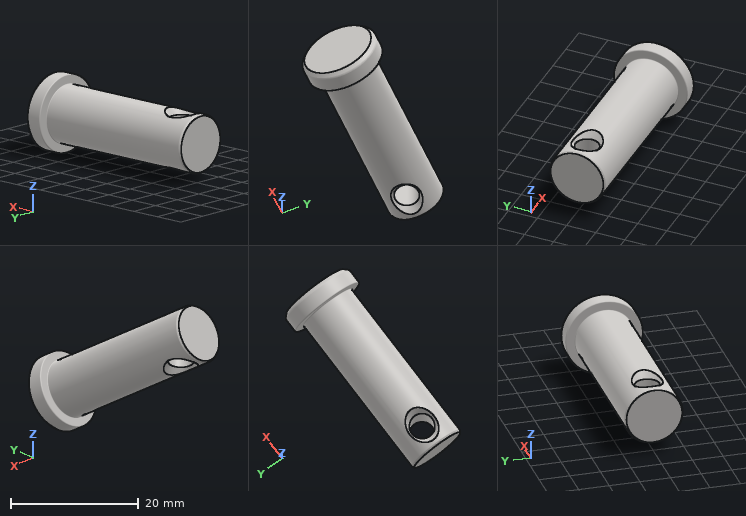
import cadquery as cq
import math

total_length = 31.75
head_diameter = 12.7
head_thickness = 3.2
shank_diameter = 9.52

tip_chamfer_length = 0.38
tip_chamfer_depth = 0.22
tip_blend_radius = 0.2
head_chamfer = 0.67
head_blend_radius = 0.4
head_edge_fillet = 0.2
neck_fillet = 0.13

hole_diameter = 3.97
hole_from_tip = 3.97
countersink_diameter = 5.97
countersink_angle = 82.0

shank_radius = shank_diameter / 2
head_radius = head_diameter / 2
shank_length = total_length - head_thickness


def cylinder_along_x(start, length, radius):
    """Solid cylinder on the X axis, starting at X = start."""
    return cq.Workplane("YZ", origin=(start, 0, 0)).circle(radius).extrude(length)


def chamfered_shank():
    """Shank with a shallow tip chamfer that blends into its outer surface."""
    shank = cylinder_along_x(0, shank_length, shank_radius)
    shank = shank.faces("<X").chamfer(tip_chamfer_length, tip_chamfer_depth)
    blend_edge = cq.selectors.NearestToPointSelector((tip_chamfer_length, 0, 0))
    return shank.edges("%CIRCLE").edges(blend_edge).fillet(tip_blend_radius)


def chamfered_head():
    """Head with a rounded inner rim and a blended chamfer on its outer rim."""
    head = cylinder_along_x(shank_length, head_thickness, head_radius)
    head = head.faces(">X").chamfer(head_chamfer)
    blend_edge = cq.selectors.NearestToPointSelector((total_length - head_chamfer, 0, 0))
    head = head.edges("%CIRCLE").edges(blend_edge).fillet(head_blend_radius)
    return head.faces("<X").edges().fillet(head_edge_fillet)


def neck_ring():
    """Concave fillet ring between the shank and the inner face of the head."""
    arc_offset = neck_fillet * (1 - math.sqrt(0.5))
    profile = (
        cq.Workplane("XY")
        .moveTo(shank_length - neck_fillet, 0)
        .lineTo(shank_length - neck_fillet, shank_radius)
        .threePointArc(
            (shank_length - arc_offset, shank_radius + arc_offset),
            (shank_length, shank_radius + neck_fillet),
        )
        .lineTo(shank_length, 0)
        .close()
    )
    return profile.revolve(360, (0, 0, 0), (1, 0, 0))


def cross_hole_cutter():
    """Revolve the hole with a cone flaring outward at each end about a Z axis."""
    hole_radius = hole_diameter / 2
    slope = math.tan(math.radians(countersink_angle / 2))
    cone_start = shank_radius - (countersink_diameter - hole_diameter) / 2 / slope
    cutter_top = head_radius
    cutter_radius = hole_radius + (cutter_top - cone_start) * slope
    outline = [
        (0, -cutter_top),
        (cutter_radius, -cutter_top),
        (hole_radius, -cone_start),
        (hole_radius, cone_start),
        (cutter_radius, cutter_top),
        (0, cutter_top),
    ]
    cutter = cq.Workplane("XZ").polyline(outline).close().revolve(360, (0, 0, 0), (0, 1, 0))
    return cutter.translate((hole_from_tip, 0, 0))


pin = chamfered_shank().union(neck_ring()).union(chamfered_head())
result = pin.cut(cross_hole_cutter())